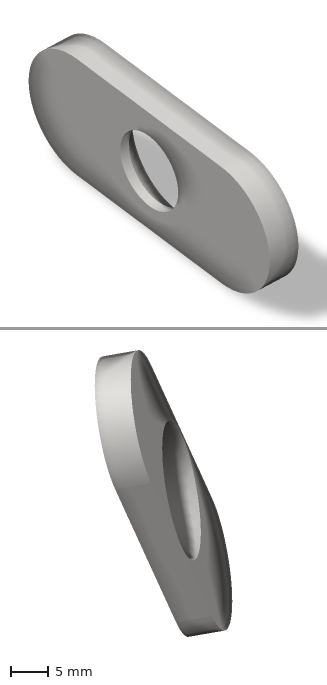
import cadquery as cq

length = 50.0
height = 20.0
thickness = 5.0
hole_diameter = 12.0
straight_depth = 1.5
countersink_angle = 90.0

plate = cq.Workplane("XZ").slot2D(length, height).extrude(thickness / 2, both=True)

countersink_depth = thickness - straight_depth
countersink_diameter = hole_diameter + 2 * countersink_depth
result = (
    plate.faces(">Y")
    .workplane(origin=(0, 0, 0))
    .cskHole(hole_diameter, countersink_diameter, countersink_angle)
)